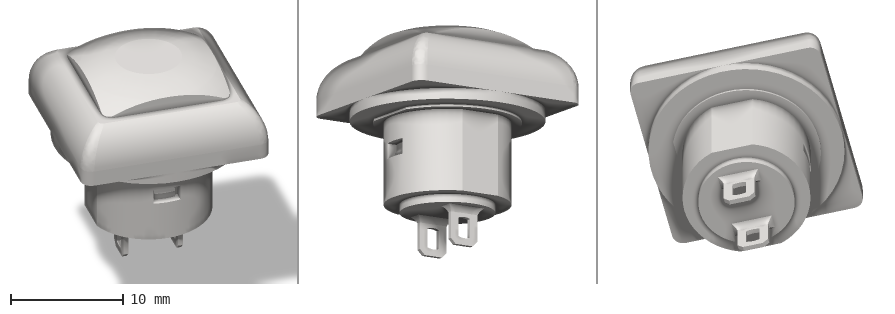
import cadquery as cq
import math

OVERALL_HEIGHT = 19.9
BEZEL_TOP = 17.9
BEZEL_SHOULDER = 14.37
PLATE_TOP = 12.9
PLATE_BOTTOM = 11.9
WASHER_BOTTOM = 11.7
BARREL_BOTTOM = 4.24
BASE_BOTTOM = 3.5

BEZEL_WIDTH = 17.5
BEZEL_ROLL_RADIUS = 4.0
BEZEL_CORNER_RADIUS = 1.0

BUTTON_WIDTH = 12.0
BUTTON_CORNER_RADIUS = 1.0
BUTTON_FLAT_RADIUS = 3.0
DOME_SIDE_HEIGHT = 19.16
DOME_RIM_RADIUS = 8.08
DOME_RIM_HEIGHT = 17.99

PLATE_RADIUS = BEZEL_WIDTH / 2
WASHER_RADIUS = 6.65
WASHER_FLAT = 6.09
BARREL_RADIUS = 5.71
BARREL_FLAT = 5.4
BASE_RADIUS = 4.3

WINDOW_WIDTH = 2.53
WINDOW_BOTTOM = 7.98
WINDOW_TOP = 9.41
WINDOW_FLOOR_RADIUS = 4.75
LATCH_WIDTH = 1.95
LATCH_RADIUS = 5.01
LATCH_FRONT_TOP = 8.55
LATCH_BACK_TOP = 8.92

TERMINAL_OFFSET = 2.55
TERMINAL_WIDTH = 2.83
TERMINAL_THICKNESS = 0.44
TERMINAL_CHAMFER = 0.5
ROOT_HEIGHT = 0.58
ROOT_FLARE = 0.44
ROOT_HOLLOW = 0.05
EYE_WIDTH = 1.23
EYE_BOTTOM = 0.64
EYE_TOP = 2.59
EYE_END_RISE = 0.12


def cylinder(radius, bottom, top):
    return cq.Workplane("XY").workplane(offset=bottom).circle(radius).extrude(top - bottom)


def block(x_range, y_range, z_range):
    """Axis-aligned box given by its limits along X, Y and Z."""
    (x0, x1), (y0, y1), (z0, z1) = x_range, y_range, z_range
    return cq.Workplane("XY").box(x1 - x0, y1 - y0, z1 - z0, centered=False).translate((x0, y0, z0))


def rolled_bar(plane):
    """Bar with the bezel's side profile, as long as the bezel is wide."""
    half = BEZEL_WIDTH / 2
    arc_center = half - BEZEL_ROLL_RADIUS

    def arc_point(angle):
        x = arc_center + BEZEL_ROLL_RADIUS * math.cos(angle)
        z = BEZEL_SHOULDER + BEZEL_ROLL_RADIUS * math.sin(angle)
        return x, z

    roll_angle = math.asin((BEZEL_TOP - BEZEL_SHOULDER) / BEZEL_ROLL_RADIUS)
    mid_x, mid_z = arc_point(roll_angle / 2)
    top_x, top_z = arc_point(roll_angle)
    return (
        cq.Workplane(plane)
        .moveTo(-half, PLATE_TOP)
        .lineTo(half, PLATE_TOP)
        .lineTo(half, BEZEL_SHOULDER)
        .threePointArc((mid_x, mid_z), (top_x, top_z))
        .lineTo(-top_x, top_z)
        .threePointArc((-mid_x, mid_z), (-half, BEZEL_SHOULDER))
        .close()
        .extrude(half, both=True)
    )


def make_bezel():
    """Two crossed bars meet in mitred corners, which are then rounded from bottom to top."""
    bezel = rolled_bar("XZ").intersect(rolled_bar("YZ"))
    corner_edges = bezel.edges("|Z").add(bezel.edges("not(#Z or |X or |Y or |Z)"))
    return corner_edges.fillet(BEZEL_CORNER_RADIUS)


def make_button():
    """Rounded square post trimmed by a revolved dome with a flat centre."""
    post = (
        cq.Workplane("XY")
        .workplane(offset=PLATE_TOP)
        .rect(BUTTON_WIDTH, BUTTON_WIDTH)
        .extrude(OVERALL_HEIGHT - PLATE_TOP)
        .edges("|Z")
        .fillet(BUTTON_CORNER_RADIUS)
    )
    dome = (
        cq.Workplane("XZ")
        .moveTo(0, PLATE_TOP)
        .lineTo(0, OVERALL_HEIGHT)
        .lineTo(BUTTON_FLAT_RADIUS, OVERALL_HEIGHT)
        .threePointArc((BUTTON_WIDTH / 2, DOME_SIDE_HEIGHT), (DOME_RIM_RADIUS, DOME_RIM_HEIGHT))
        .lineTo(DOME_RIM_RADIUS, PLATE_TOP)
        .close()
        .revolve(360, (0, 0), (0, 1))
    )
    return post.intersect(dome)


def make_washer():
    reach = WASHER_RADIUS
    keep = block((-WASHER_FLAT, reach), (-reach, reach), (WASHER_BOTTOM, PLATE_BOTTOM))
    return cylinder(WASHER_RADIUS, WASHER_BOTTOM, PLATE_BOTTOM).intersect(keep)


def make_window_cutter():
    """Window openings through both sides, down to a cylindrical floor."""
    reach = BARREL_RADIUS + 0.2
    half = WINDOW_WIDTH / 2
    opening = block((-reach, reach), (-half, half), (WINDOW_BOTTOM, WINDOW_TOP))
    return opening.cut(cylinder(WINDOW_FLOOR_RADIUS, WINDOW_BOTTOM, WINDOW_TOP))


def make_latches():
    """Latches standing on both window floors, with a sloped top edge."""
    half = LATCH_WIDTH / 2
    ring = (
        cq.Workplane("XZ")
        .polyline([
            (0, WINDOW_BOTTOM),
            (LATCH_RADIUS, WINDOW_BOTTOM),
            (LATCH_RADIUS, LATCH_FRONT_TOP),
            (WINDOW_FLOOR_RADIUS, LATCH_BACK_TOP),
            (0, LATCH_BACK_TOP),
        ])
        .close()
        .revolve(360, (0, 0), (0, 1))
    )
    reach = LATCH_RADIUS
    return ring.intersect(block((-reach, reach), (-half, half), (WINDOW_BOTTOM, LATCH_BACK_TOP)))


def make_barrel():
    reach = BARREL_RADIUS
    keep = block((-reach, reach), (-BARREL_FLAT, BARREL_FLAT), (BARREL_BOTTOM, WASHER_BOTTOM))
    barrel = cylinder(BARREL_RADIUS, BARREL_BOTTOM, WASHER_BOTTOM).intersect(keep)
    return barrel.cut(make_window_cutter()).union(make_latches())


def make_terminal_blank(y):
    return (
        cq.Workplane("XY")
        .center(0, y)
        .rect(TERMINAL_WIDTH, TERMINAL_THICKNESS)
        .extrude(BASE_BOTTOM)
        .edges("|Y and <Z")
        .chamfer(TERMINAL_CHAMFER)
    )


def make_eyes():
    """Eye through both terminals, with shallow curved ends."""
    half = EYE_WIDTH / 2
    return (
        cq.Workplane("XZ")
        .moveTo(-half, EYE_BOTTOM + EYE_END_RISE)
        .threePointArc((0, EYE_BOTTOM), (half, EYE_BOTTOM + EYE_END_RISE))
        .lineTo(half, EYE_TOP - EYE_END_RISE)
        .threePointArc((0, EYE_TOP), (-half, EYE_TOP - EYE_END_RISE))
        .close()
        .extrude(BASE_RADIUS, both=True)
    )


def flared_bar(plane, width):
    """Bar with concave sides that widen from the terminal size up to the base."""
    narrow = width / 2
    wide = narrow + ROOT_FLARE
    root_bottom = BASE_BOTTOM - ROOT_HEIGHT
    side_length = math.hypot(ROOT_FLARE, ROOT_HEIGHT)
    mid_x = (narrow + wide) / 2 - ROOT_HOLLOW * ROOT_HEIGHT / side_length
    mid_z = (root_bottom + BASE_BOTTOM) / 2 + ROOT_HOLLOW * ROOT_FLARE / side_length
    return (
        cq.Workplane(plane)
        .moveTo(-narrow, root_bottom)
        .lineTo(narrow, root_bottom)
        .threePointArc((mid_x, mid_z), (wide, BASE_BOTTOM))
        .lineTo(-wide, BASE_BOTTOM)
        .threePointArc((-mid_x, mid_z), (-narrow, root_bottom))
        .close()
        .extrude(TERMINAL_WIDTH, both=True)
    )


def make_root(y):
    """Root flared on all four sides of a terminal."""
    root = flared_bar("XZ", TERMINAL_WIDTH).intersect(flared_bar("YZ", TERMINAL_THICKNESS))
    return root.translate((0, y, 0))


def make_base_with_terminals():
    """Base disc carrying both terminals."""
    base = cylinder(BASE_RADIUS, BASE_BOTTOM, BARREL_BOTTOM)
    for y in (-TERMINAL_OFFSET, TERMINAL_OFFSET):
        base = base.union(make_terminal_blank(y)).union(make_root(y))
    return base.cut(make_eyes())


result = make_bezel()
for feature in (
    make_button(),
    cylinder(PLATE_RADIUS, PLATE_BOTTOM, PLATE_TOP),
    make_washer(),
    make_barrel(),
    make_base_with_terminals(),
):
    result = result.union(feature)